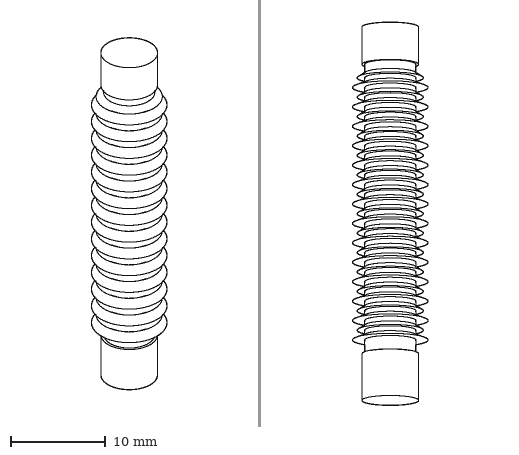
import cadquery as cq

total_length = 40.0
core_diameter = 5.4
cap_diameter = 6.0
lower_cap_length = 5.0
upper_cap_length = 4.0

wide_shed_diameter = 8.0
narrow_shed_diameter = 7.0
shed_pitch = 1.05
shed_height = shed_pitch / 2
shed_count = 28
first_shed_base = 6.5


def cylinder(diameter, base, length):
    """Upright cylinder on the Z axis."""
    return cq.Workplane("XY").workplane(offset=base).circle(diameter / 2).extrude(length)


def shed_profile_points(base, diameter):
    """Half profile of one shed: lower root, tip, upper root."""
    core_radius = core_diameter / 2
    return [
        (core_radius, base),
        (diameter / 2, base),
        (core_radius, base + shed_height),
    ]


def shedded_core():
    """Core rod and all its sheds, revolved from one half profile."""
    profile = [(0, 0), (core_diameter / 2, 0)]
    for index in range(shed_count):
        is_wide = index % 2 == 0
        diameter = wide_shed_diameter if is_wide else narrow_shed_diameter
        profile += shed_profile_points(first_shed_base + index * shed_pitch, diameter)
    profile += [(core_diameter / 2, total_length), (0, total_length)]
    return cq.Workplane("XZ").polyline(profile).close().revolve(360, (0, 0), (0, 1))


lower_cap = cylinder(cap_diameter, 0, lower_cap_length)
upper_cap = cylinder(cap_diameter, total_length - upper_cap_length, upper_cap_length)

result = shedded_core().union(lower_cap).union(upper_cap)